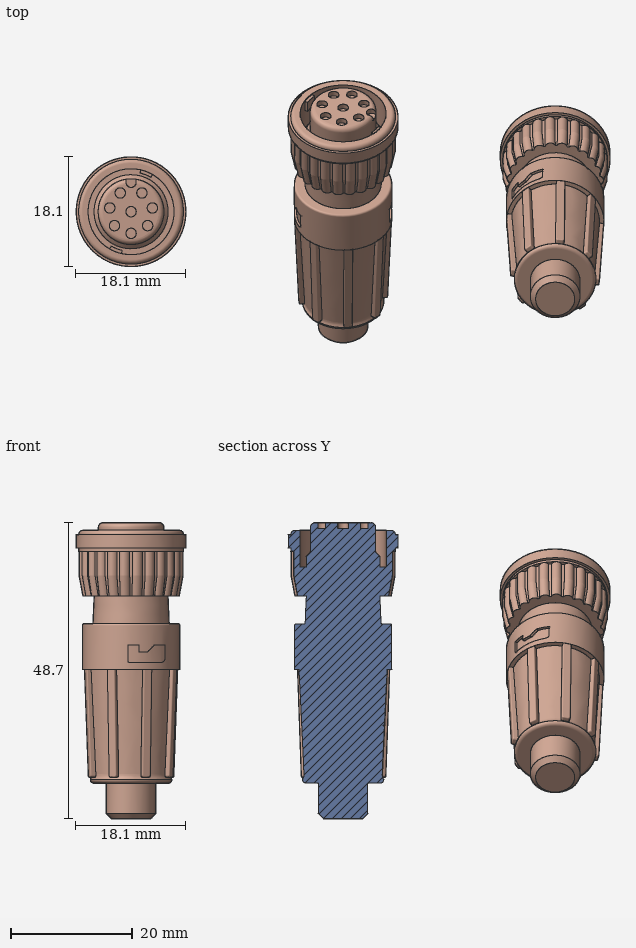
import cadquery as cq
import math


TOTAL_HEIGHT = 48.65
GRIP_BOTTOM = 5.85
GRIP_FLARE_TOP = 7.3
BARREL_BOTTOM = 24.5
BARREL_TOP = 32.05
KNURL_BOTTOM = 36.6
KNURL_TAPER_START = 39.95
KNURL_TOP = 43.9
COLLAR_BOTTOM = 44.45
COLLAR_TOP = 46.65
RIM_TOP = 47.38
SOCKET_FLOOR = 41.35
SHOULDER_TOP = 43.8

CABLE_RADIUS = 4.1
CABLE_CHAMFER = 0.88

GRIP_FOOT_RADIUS = 6.7
GRIP_FOOT_FILLET = 0.65
GRIP_LOWER_RADIUS = 6.45
GRIP_UPPER_RADIUS = 7.3
RIB_COUNT = 8
RIB_FIRST_ANGLE = 20.5
RIB_WIDTH = 1.4
RIB_BOTTOM = 6.8
RIB_LOWER_RADIUS = 7.3
RIB_UPPER_RADIUS = 8.0
RIB_INNER_RADIUS = 5.35
RIB_CORNER = 0.35
RIB_FILLET = 0.2

BARREL_RADIUS = 8.03
BARREL_FILLET = 0.35
MARK_DEPTH = 0.4
MARK_LEFT = -0.55
MARK_RIGHT = 5.55
MARK_BOTTOM = 25.7
MARK_TOP = 28.5
MARK_NOTCH_FLOOR = 27.45
MARK_NOTCH_LEFT = 1.25
MARK_NOTCH_RIGHT = 2.7
MARK_SMALL_CORNER = 0.25
MARK_LARGE_CORNER = 0.6

NECK_LOWER_RADIUS = 6.27
NECK_UPPER_RADIUS = 6.1

COLLAR_DIAMETER = 18.05
COLLAR_RADIUS = COLLAR_DIAMETER / 2
RIM_RADIUS = 8.6
RIM_FILLET = 0.7
SOCKET_RADIUS = 7.05
KNURL_COUNT = 24
KNURL_ROOT_RADIUS = 8.1
KNURL_LOBE_RADIUS = 0.9
KNURL_TAPER = 0.65
LUG_INNER_RADIUS = 6.5
LUG_START_ANGLE = 60.0
LUG_SPAN = 17.0
LUG_BOTTOM = 45.25
LUG_TOP = 47.2

INSERT_RADIUS = 5.4
INSERT_FILLET = 0.85
CONTACT_DIAMETER = 1.7
CONTACT_RADIUS = CONTACT_DIAMETER / 2
CONTACT_CIRCLE_RADIUS = 3.55
CONTACT_COUNT = 7
CONTACT_PITCH_ANGLE = 50.0
CONTACT_DEPTH = 0.95
KEY_SLOT_WIDTH = 1.65
KEY_SLOT_CENTER = 4.8


def cylinder(radius, bottom, top):
    return cq.Workplane("XY").workplane(offset=bottom).circle(radius).extrude(top - bottom)


def tapered(lower_radius, upper_radius, bottom, top, x=0.0, x_shift=0.0):
    """Loft between two circles; x_shift moves the upper circle sideways."""
    lower = cq.Workplane("XY").workplane(offset=bottom).center(x, 0).circle(lower_radius)
    upper = lower.workplane(offset=top - bottom).center(x_shift, 0).circle(upper_radius)
    return upper.loft(ruled=True)


def ring_of(feature, count, first_angle=0.0):
    """Copies of a feature spread evenly around the axis."""
    copies = cq.Workplane("XY")
    for i in range(count):
        angle = first_angle + i * 360.0 / count
        copies = copies.add(feature.rotate((0, 0, 0), (0, 0, 1), angle).vals())
    return copies


def fuse_all(body, features):
    for feature in features.vals():
        body = body.union(cq.Workplane("XY").add(feature))
    return body


def cable_end():
    return cylinder(CABLE_RADIUS, 0, GRIP_BOTTOM).faces("<Z").chamfer(CABLE_CHAMFER)


def grip():
    """Tapered sleeve that flares out to a rounded foot, with eight raised ribs."""
    foot_rounding_top = GRIP_BOTTOM + GRIP_FOOT_FILLET
    sleeve = (
        cq.Workplane("XZ")
        .moveTo(0, BARREL_BOTTOM)
        .lineTo(GRIP_UPPER_RADIUS, BARREL_BOTTOM)
        .lineTo(GRIP_LOWER_RADIUS, GRIP_FLARE_TOP)
        .tangentArcPoint((GRIP_FOOT_RADIUS, foot_rounding_top), relative=False)
        .radiusArc((GRIP_FOOT_RADIUS - GRIP_FOOT_FILLET, GRIP_BOTTOM), GRIP_FOOT_FILLET)
        .lineTo(0, GRIP_BOTTOM)
        .close()
        .revolve(360, (0, 0), (0, 1))
    )
    rib = (
        cq.Workplane("XZ")
        .polyline([
            (RIB_INNER_RADIUS, RIB_BOTTOM),
            (RIB_LOWER_RADIUS, RIB_BOTTOM),
            (RIB_UPPER_RADIUS, BARREL_BOTTOM),
            (RIB_INNER_RADIUS, BARREL_BOTTOM),
        ])
        .close()
        .extrude(RIB_WIDTH / 2, both=True)
    )
    rib = rib.edges("|X and <Z").fillet(RIB_CORNER)
    rib = rib.faces(">X").edges("not >Z").fillet(RIB_FILLET)
    return fuse_all(sleeve, ring_of(rib, RIB_COUNT, RIB_FIRST_ANGLE))


def mark_recess():
    """Notched outline sunk to an even depth into the -Y side of the barrel."""
    notch_slope_end = MARK_NOTCH_RIGHT + MARK_TOP - MARK_NOTCH_FLOOR
    outline = (
        cq.Workplane("XZ")
        .polyline([
            (MARK_LEFT, MARK_BOTTOM),
            (MARK_RIGHT, MARK_BOTTOM),
            (MARK_RIGHT, MARK_TOP),
            (notch_slope_end, MARK_TOP),
            (MARK_NOTCH_RIGHT, MARK_NOTCH_FLOOR),
            (MARK_NOTCH_LEFT, MARK_NOTCH_FLOOR),
            (MARK_NOTCH_LEFT, MARK_TOP),
            (MARK_LEFT, MARK_TOP),
        ])
        .close()
        .extrude(BARREL_RADIUS)
    )
    outline = outline.edges("|Y and <Z and <X").fillet(MARK_SMALL_CORNER)
    outline = outline.edges("|Y and <Z and >X").fillet(MARK_LARGE_CORNER)
    return outline.cut(cylinder(BARREL_RADIUS - MARK_DEPTH, MARK_BOTTOM, MARK_TOP))


def barrel():
    body = cylinder(BARREL_RADIUS, BARREL_BOTTOM, BARREL_TOP)
    body = body.faces(">Z").edges().fillet(BARREL_FILLET)
    for recess in ring_of(mark_recess(), 2).vals():
        body = body.cut(cq.Workplane("XY").add(recess))
    return body


def neck():
    return tapered(NECK_LOWER_RADIUS, NECK_UPPER_RADIUS, BARREL_TOP, KNURL_BOTTOM)


def knurl():
    """Grip ring of rounded lobes, straight above and leaning inward below."""
    lower_root = KNURL_ROOT_RADIUS - KNURL_TAPER
    lobe_center = RIM_RADIUS - KNURL_LOBE_RADIUS
    root = cylinder(KNURL_ROOT_RADIUS, KNURL_TAPER_START, KNURL_TOP)
    root = root.union(tapered(lower_root, KNURL_ROOT_RADIUS, KNURL_BOTTOM, KNURL_TAPER_START))
    lobe = cylinder(KNURL_LOBE_RADIUS, KNURL_TAPER_START, KNURL_TOP).translate((lobe_center, 0, 0))
    leaning_lobe = tapered(
        KNURL_LOBE_RADIUS, KNURL_LOBE_RADIUS, KNURL_BOTTOM, KNURL_TAPER_START,
        x=lobe_center - KNURL_TAPER, x_shift=KNURL_TAPER,
    )
    half_pitch = 180.0 / KNURL_COUNT
    return fuse_all(root, ring_of(lobe.union(leaning_lobe), KNURL_COUNT, half_pitch))


def coupling_ring():
    """Knurl, collar and rounded rim around an open socket with two bayonet lugs."""
    rim = cylinder(RIM_RADIUS, KNURL_TOP, RIM_TOP).faces(">Z").edges().fillet(RIM_FILLET)
    ring = knurl().union(rim).union(cylinder(COLLAR_RADIUS, COLLAR_BOTTOM, COLLAR_TOP))
    ring = ring.cut(cylinder(SOCKET_RADIUS, SOCKET_FLOOR, RIM_TOP))
    lug_depth = (SOCKET_RADIUS + COLLAR_RADIUS) / 2 - LUG_INNER_RADIUS
    lug = (
        cq.Workplane("XZ")
        .moveTo(LUG_INNER_RADIUS + lug_depth / 2, (LUG_BOTTOM + LUG_TOP) / 2)
        .rect(lug_depth, LUG_TOP - LUG_BOTTOM)
        .revolve(LUG_SPAN, (0, 0), (0, 1))
    )
    return fuse_all(ring, ring_of(lug, 2, LUG_START_ANGLE))


def insert():
    """Contact carrier on a sloped shoulder, with eight contact holes and a key slot."""
    slope_bottom = SHOULDER_TOP - (NECK_UPPER_RADIUS - INSERT_RADIUS)
    body = cylinder(INSERT_RADIUS, SOCKET_FLOOR, TOTAL_HEIGHT).faces(">Z").edges().fillet(INSERT_FILLET)
    body = body.union(cylinder(NECK_UPPER_RADIUS, SOCKET_FLOOR, slope_bottom))
    body = body.union(tapered(NECK_UPPER_RADIUS, INSERT_RADIUS, slope_bottom, SHOULDER_TOP))

    centers = [(0.0, 0.0)]
    for i in range(CONTACT_COUNT):
        angle = math.radians(-90 + (i - CONTACT_COUNT // 2) * CONTACT_PITCH_ANGLE)
        centers.append((CONTACT_CIRCLE_RADIUS * math.cos(angle), CONTACT_CIRCLE_RADIUS * math.sin(angle)))
    hole_floor = cq.Workplane("XY").workplane(offset=TOTAL_HEIGHT - CONTACT_DEPTH)
    body = body.cut(hole_floor.pushPoints(centers).circle(CONTACT_RADIUS).extrude(CONTACT_DEPTH))

    slot = (
        hole_floor.center(0, KEY_SLOT_CENTER + KEY_SLOT_WIDTH / 2)
        .slot2D(KEY_SLOT_WIDTH * 2, KEY_SLOT_WIDTH, 90)
        .extrude(CONTACT_DEPTH)
    )
    return body.cut(slot)


result = cable_end()
for section in (grip(), barrel(), neck(), coupling_ring(), insert()):
    result = result.union(section)